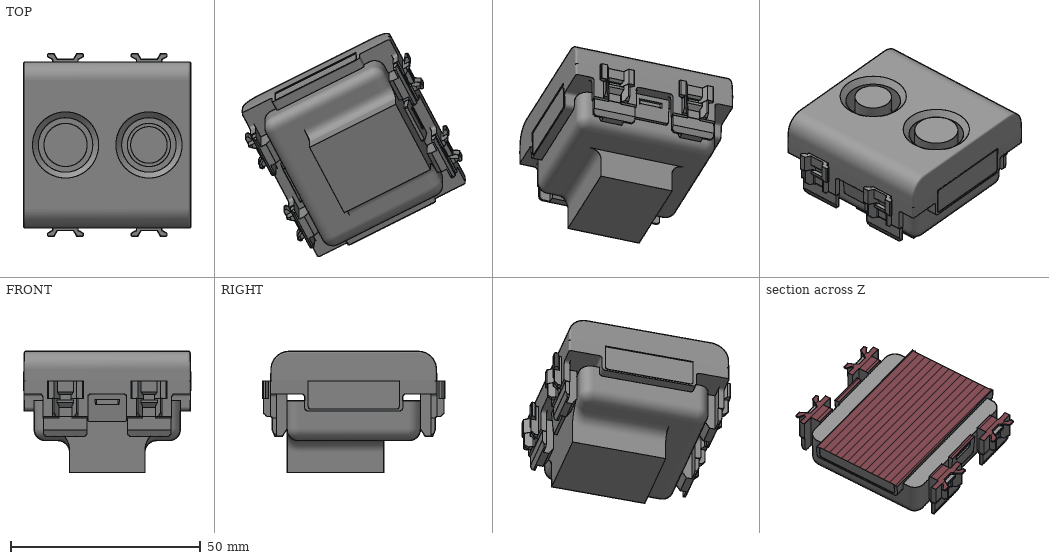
import cadquery as cq
import math


joint_half_x = 22.1
edge_half_x = 21.9
cover_top_half_y = 21.75
cover_half_y = 21.95
overall_half_y = 24.12
cover_height = 7.8
cover_round = 4.9
side_edge_fillet = 0.55
frame_depth = 3.5

tab_half_y = 13.0
tab_bottom = -8.0
tab_fillet = 1.05
tab_root_fillet = 0.7
inset_half_y = 12.0
inset_bottom = -7.5
inset_fillet = 0.7
inset_depth = 0.1

body_half_x = 19.3
body_half_y = 17.6
body_top = -5.2
body_bottom = -15.85
body_round = 3.0

stem_half_x = 10.0
stem_rear_y = 7.95
stem_bottom = -24.25

hole_spacing = 22.0
hole_rim_radius = 8.75
hole_radius = 7.2
hole_cone_depth = 1.45
hole_floor = -0.95
pin_top = 7.6
wide_pin_radius = 5.7
narrow_pin_radius = 4.82
collar_top = 0.95

leg_spacing = 22.1
leg_half_width = 5.95
leg_inner_y = 20.4
leg_step_z = -9.45
leg_step_drop = 0.4
leg_lower_inset = 0.45
leg_side_step = 0.2
leg_toe_start = -13.0
leg_toe_y = 20.85
leg_bottom = -14.65
leg_corner_cut = 0.65
leg_root_fillet = 0.85
rib_half_width = 2.9
rib_chamfer_start = -12.8
rib_chamfer_width = 1.25

clip_base_half = 3.4
clip_half_width = 4.75
clip_hook_bottom = -4.65
clip_tip_inner = 3.0
clip_tip_bevel = 0.25
clip_hook_root = 0.6
clip_hook_underside = 1.35
rail_root_half = 1.75
channel_sink = 0.15
clip_web = 0.68
clip_foot_chamfer = 0.95

window_half_width = 1.45
shelf_half_width = 2.2
lip_start = -2.95
window_top = -3.55
shelf_top = -5.0
shelf_front_bottom = -5.8
shelf_bottom = -7.1

panel_bottom_thickness = 0.85
panel_top_thickness = 1.45
panel_bottom = -10.7
panel_corner_cut = 0.3
slot_half_width = 3.3
slot_floor_half_width = 2.8
slot_depth = 0.7
slot_top = -4.9
slot_bottom = -6.3

flare_bend_y = body_round - body_half_y
flare_bend_z = body_bottom + body_round

leg_lower_y = cover_half_y - leg_lower_inset
clip_web_y = cover_half_y + clip_web
panel_half_width = leg_spacing / 2 - leg_half_width


def box(x_range, y_range, z_range):
    """Box from three (low, high) ranges."""
    spans = (x_range, y_range, z_range)
    size = [high - low for low, high in spans]
    return cq.Workplane("XY").box(*size, centered=False).translate([low for low, _ in spans])


def mirror_pair(points):
    """Close a half outline with its mirror image across the first axis."""
    return points + [(-u, v) for u, v in reversed(points)]


def make_cover():
    """Cover with rounded long edges, narrowing upward on all sides."""
    section = mirror_pair([(cover_half_y, 0), (cover_top_half_y, cover_height)])
    cover = cq.Workplane("YZ").polyline(section).close().extrude(joint_half_x, both=True)
    cover = cover.edges("|X and >Z").fillet(cover_round)
    cover = cover.intersect(draft_envelope(cover_half_y))
    return cover.edges("(not |X) and ((not |Y) or >Z)").fillet(side_edge_fillet)


def make_frame():
    """Shallow frame below the joint, narrowing downward along X."""
    frame = box((-joint_half_x, joint_half_x), (-cover_half_y, cover_half_y), (-frame_depth, 0))
    frame = frame.intersect(draft_envelope(cover_half_y))
    return frame.edges("(not |X) and (not |Y)").fillet(side_edge_fillet)


def draft_envelope(half_y):
    """Prism whose sides slope in from the joint, upward and downward."""
    outline = mirror_pair(
        [(edge_half_x, cover_height), (joint_half_x, 0), (edge_half_x, tab_bottom)]
    )
    return cq.Workplane("XZ").polyline(outline).close().extrude(half_y, both=True)


def make_tab():
    """Block below the frame that carries the body, showing as a tab on each side."""
    x_range = (-joint_half_x, joint_half_x)
    tab = box(x_range, (-tab_half_y, tab_half_y), (tab_bottom, -frame_depth))
    tab = tab.edges("|X and <Z").fillet(tab_fillet)
    for side in (1, -1):
        root = root_fillet_profile("YZ", side * tab_half_y, side, tab_root_fillet)
        tab = tab.union(root.extrude(joint_half_x, both=True))
    return tab.intersect(draft_envelope(tab_half_y + tab_root_fillet))


def root_fillet_profile(plane, edge, side, radius):
    """Concave corner between the frame underside and a wall at edge facing side."""
    arc_offset = radius * (1 - math.sqrt(0.5))
    return (
        cq.Workplane(plane)
        .moveTo(edge, -frame_depth)
        .lineTo(edge + side * radius, -frame_depth)
        .threePointArc(
            (edge + side * arc_offset, -frame_depth - arc_offset),
            (edge, -frame_depth - radius),
        )
        .close()
    )


def make_side_insets():
    """Shallow recesses in the sides, from the joint down the tabs."""
    recess = box((-joint_half_x, joint_half_x), (-inset_half_y, inset_half_y), (inset_bottom, 0))
    recess = recess.edges("|X and <Z").fillet(inset_fillet)
    floor_half_x = edge_half_x - inset_depth
    keep = box((-floor_half_x, floor_half_x), (-inset_half_y, inset_half_y), (inset_bottom, 0))
    return recess.cut(keep)


def make_body():
    """Rounded box below the frame with a stem flush with its front."""
    body = box((-body_half_x, body_half_x), (-body_half_y, body_half_y), (body_bottom, body_top))
    body = body.edges("|Z or <Z").fillet(body_round)
    stem = box((-stem_half_x, stem_half_x), (-body_half_y, stem_rear_y), (stem_bottom, body_top))
    return body.union(stem).union(make_stem_flares())


def flare_section(side):
    """Section of a stem flare where the body's front edge starts to round."""
    inner_x = side * stem_half_x
    outer_x = inner_x + side * body_round
    arc_offset = body_round * (1 - math.sqrt(0.5))
    return (
        cq.Workplane("XZ", origin=(0, flare_bend_y, 0))
        .moveTo(inner_x, flare_bend_z)
        .lineTo(outer_x, flare_bend_z)
        .lineTo(outer_x, body_bottom)
        .threePointArc(
            (inner_x + side * arc_offset, body_bottom - arc_offset),
            (inner_x, body_bottom - body_round),
        )
        .close()
    )


def make_stem_flares():
    """Concave blends from the stem flanks to the body, bent around its front edge."""
    flares = cq.Workplane("XY")
    for side in (1, -1):
        straight = flare_section(side).extrude(flare_bend_y - stem_rear_y)
        bend = flare_section(side).revolve(90, (0, flare_bend_z), (-1, flare_bend_z))
        flares = flares.add(straight.union(bend))
    in_front = box(
        (-body_half_x, body_half_x), (-overall_half_y, -body_half_y), (stem_bottom, flare_bend_z)
    )
    return flares.combine().cut(in_front)


def make_hole_cut(center_x):
    """Round hole with a conical rim."""
    rim_z = cover_height - hole_cone_depth
    outline = [
        (0, hole_floor),
        (hole_radius, hole_floor),
        (hole_radius, rim_z),
        (hole_rim_radius, cover_height),
        (0, cover_height),
    ]
    cut = cq.Workplane("XZ").polyline(outline).close().revolve(360, (0, 0), (0, 1))
    return cut.translate((center_x, 0, 0))


def make_pin(center_x, radius, top):
    """Round pin standing on a hole floor."""
    return (
        cq.Workplane("XY", origin=(center_x, 0, hole_floor)).circle(radius).extrude(top - hole_floor)
    )


def make_leg():
    """Rear leg at X = 0: stepped plate, stiffening rib and clip with its window."""
    upper_profile = cq.Workplane("YZ").polyline([
        (leg_inner_y, 0),
        (cover_half_y, 0),
        (cover_half_y, leg_step_z),
        (leg_lower_y, leg_step_z - leg_step_drop),
        (leg_inner_y, leg_step_z - leg_step_drop),
    ]).close()
    channel = box(
        (-rail_root_half, rail_root_half),
        (leg_lower_y - channel_sink, cover_half_y),
        (leg_step_z - leg_step_drop, shelf_front_bottom),
    )
    leg = upper_profile.extrude(leg_half_width, both=True).cut(channel)

    lower_profile = cq.Workplane("YZ").polyline([
        (leg_inner_y, leg_step_z),
        (leg_lower_y, leg_step_z),
        (leg_lower_y, leg_toe_start),
        (leg_toe_y, leg_bottom),
        (leg_inner_y, leg_bottom),
    ]).close()
    lower_half = leg_half_width - leg_side_step
    lower = lower_profile.extrude(lower_half, both=True)
    corner_z = leg_bottom + leg_corner_cut
    lower_outline = mirror_pair([
        (lower_half, leg_step_z),
        (lower_half, corner_z),
        (lower_half - leg_corner_cut, leg_bottom),
    ])
    lower = lower.intersect(
        cq.Workplane("XZ").polyline(lower_outline).close().extrude(-overall_half_y)
    )
    leg = leg.union(lower)

    for side in (1, -1):
        root = root_fillet_profile("XZ", side * leg_half_width, side, leg_root_fillet)
        root = root.extrude(leg_inner_y - cover_half_y).translate((0, leg_inner_y, 0))
        leg = leg.union(root)

    rib_profile = cq.Workplane("YZ").polyline([
        (body_half_y, 0),
        (leg_inner_y, 0),
        (leg_inner_y, leg_bottom),
        (body_half_y + rib_chamfer_width, leg_bottom),
        (body_half_y, rib_chamfer_start),
    ]).close()
    leg = leg.union(rib_profile.extrude(rib_half_width, both=True))

    window = tapered_cut(
        (window_half_width, leg_lower_y), (rail_root_half, cover_half_y), (shelf_top, window_top)
    )
    return leg.cut(window).union(make_clip())


def make_clip():
    """Rear clip at X = 0: hooked rails joined by a web, with a shelf below it."""
    stalk_tip_y = overall_half_y - clip_tip_bevel
    web_profile = cq.Workplane("YZ").polyline([
        (cover_half_y, 0),
        (clip_web_y, 0),
        (clip_web_y, lip_start),
        (cover_half_y, window_top),
    ]).close()
    clip = web_profile.extrude(shelf_half_width, both=True)

    shelf_profile = cq.Workplane("YZ").polyline([
        (leg_lower_y, shelf_top),
        (clip_web_y, shelf_top),
        (clip_web_y, shelf_front_bottom),
        (leg_lower_y, shelf_bottom),
    ]).close()
    clip = clip.union(shelf_profile.extrude(shelf_half_width, both=True))

    for side in (1, -1):
        hook_outline = [
            (rail_root_half, cover_half_y),
            (clip_base_half, cover_half_y),
            (clip_base_half, cover_half_y + clip_hook_root),
            (clip_half_width, cover_half_y + clip_hook_underside),
            (clip_half_width, overall_half_y - clip_tip_bevel),
            (clip_half_width - clip_tip_bevel, overall_half_y),
            (clip_tip_inner, overall_half_y),
        ]
        stalk_outline = [
            (rail_root_half, cover_half_y),
            (clip_base_half, cover_half_y),
            (clip_base_half, stalk_tip_y),
            (clip_tip_inner, stalk_tip_y),
        ]
        hook = extrude_rail(hook_outline, side, clip_hook_bottom)
        stalk = extrude_rail(stalk_outline, side, leg_step_z)
        stalk = stalk.faces(">Y").edges("<Z").chamfer(clip_foot_chamfer)
        clip = clip.union(hook).union(stalk)
    return clip


def extrude_rail(outline, side, bottom):
    """Extrude a rail outline from the joint down, on the given side of the clip."""
    points = [(side * x, y) for x, y in outline]
    return cq.Workplane("XY").polyline(points).close().extrude(bottom)


def tapered_cut(floor, mouth, z_range):
    """Slot cutter whose half width changes from floor to mouth, each (half width, Y)."""
    bottom, top = z_range
    outline = cq.Workplane("XY", origin=(0, 0, bottom)).polyline(mirror_pair([mouth, floor])).close()
    return outline.extrude(top - bottom)


def make_panel():
    """Rear panel between the legs with a tapered slot."""
    corner_z = panel_bottom + panel_corner_cut
    outline = mirror_pair([
        (panel_half_width, -frame_depth),
        (panel_half_width, corner_z),
        (panel_half_width - panel_corner_cut, panel_bottom),
    ])
    face_y = body_half_y + panel_top_thickness
    panel = cq.Workplane("XZ").polyline(outline).close().extrude(-face_y)
    section = cq.Workplane("YZ").polyline([
        (body_half_y, -frame_depth),
        (face_y, -frame_depth),
        (body_half_y + panel_bottom_thickness, panel_bottom),
        (body_half_y, panel_bottom),
    ]).close()
    panel = panel.intersect(section.extrude(panel_half_width, both=True))
    slot = tapered_cut(
        (slot_floor_half_width, face_y - slot_depth), (slot_half_width, face_y), (slot_bottom, slot_top)
    )
    return panel.cut(slot)


result = make_cover().union(make_frame()).union(make_tab()).union(make_body())
result = result.cut(make_side_insets())

for hole_x in (-hole_spacing / 2, hole_spacing / 2):
    result = result.cut(make_hole_cut(hole_x))
result = result.union(make_pin(-hole_spacing / 2, wide_pin_radius, pin_top))
result = result.union(make_pin(hole_spacing / 2, wide_pin_radius, collar_top))
result = result.union(make_pin(hole_spacing / 2, narrow_pin_radius, pin_top))

rear_fittings = [make_panel()]
for leg_x in (-leg_spacing / 2, leg_spacing / 2):
    rear_fittings.append(make_leg().translate((leg_x, 0, 0)))
for fitting in rear_fittings:
    result = result.union(fitting).union(fitting.mirror("XZ"))